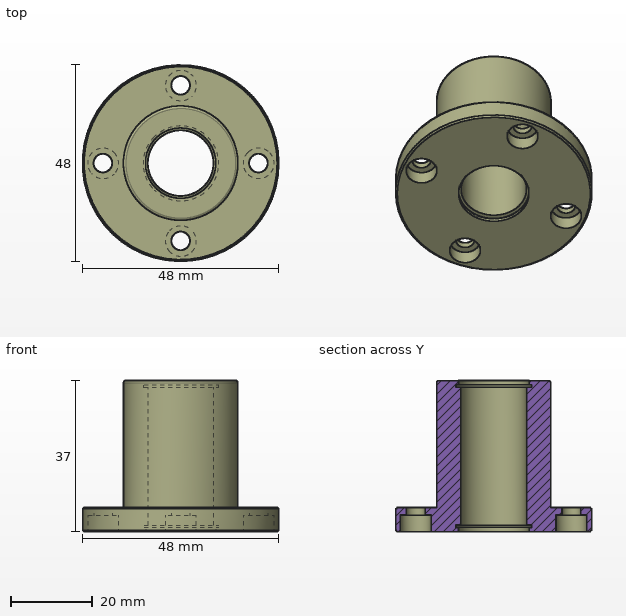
import cadquery as cq

total_length = 37.0
flange_diameter = 48.0
flange_thickness = 6.0
sleeve_diameter = 28.0
flange_chamfer = 0.42
sleeve_fillet = 0.6

bore_diameter = 16.0
lip_diameter = 17.2
groove_diameter = 18.4
lip_thickness = 1.1
recess_depth = 1.65

bolt_count = 4
bolt_circle_diameter = 38.0
bolt_hole_diameter = 4.5
counterbore_diameter = 7.5
counterbore_depth = 4.1


def cylinder(diameter, bottom, top):
    """Cylinder on the Z axis between two heights."""
    return cq.Workplane("XY").workplane(offset=bottom).circle(diameter / 2).extrude(top - bottom)


def make_body():
    """Flange with chamfered rims, carrying a sleeve with a rounded top edge."""
    flange = cylinder(flange_diameter, 0, flange_thickness)
    flange = flange.faces("|Z").edges().chamfer(flange_chamfer)
    sleeve = cylinder(sleeve_diameter, 0, total_length)
    sleeve = sleeve.edges(">Z").fillet(sleeve_fillet)
    return flange.union(sleeve)


def make_bore():
    """Through bore with a lipped groove at each end, mirrored about mid-length."""
    bore = cylinder(bore_diameter, 0, total_length)
    lip_bottom = total_length - lip_thickness
    groove_floor = total_length - recess_depth
    lip_opening = cylinder(lip_diameter, lip_bottom, total_length)
    groove = cylinder(groove_diameter, groove_floor, lip_bottom)
    upper_recess = lip_opening.union(groove)
    lower_recess = upper_recess.mirror("XY", (0, 0, total_length / 2))
    return bore.union(upper_recess).union(lower_recess)


def make_bolt_holes():
    """Counterbored holes evenly spaced on the bolt circle, one of them on +X."""
    centres = cq.Workplane("XY").polarArray(bolt_circle_diameter / 2, 0, 360, bolt_count)
    hole = cylinder(bolt_hole_diameter, 0, flange_thickness)
    counterbore = cylinder(counterbore_diameter, 0, counterbore_depth)
    stepped_hole = hole.union(counterbore).val()
    return centres.eachpoint(lambda place: stepped_hole.moved(place), combine="a")


result = make_body().cut(make_bore()).cut(make_bolt_holes())